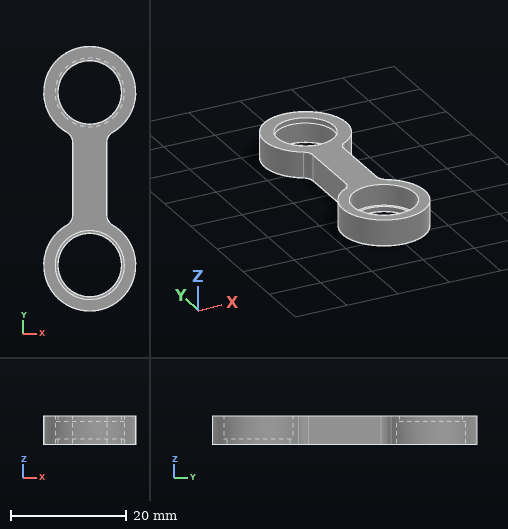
import cadquery as cq

length = 46.0
ring_diameter = 16.0
thickness = 5.0

bar_width = 6.0
bar_fillet = 2.0

bore_diameter = 11.0
seat_diameter = 12.0
lip_thickness = 1.0

ring_offset = (length - ring_diameter) / 2


def ring_blank(y):
    return cq.Workplane("XY").center(0, y).circle(ring_diameter / 2).extrude(thickness)


def ring_bore(y, seat_bottom):
    """Through bore and the wider seat that starts at the given height."""
    bore = cq.Workplane("XY").center(0, y).circle(bore_diameter / 2).extrude(thickness)
    seat = (
        cq.Workplane("XY", origin=(0, y, seat_bottom))
        .circle(seat_diameter / 2)
        .extrude(thickness - lip_thickness)
    )
    return bore.union(seat)


bar = cq.Workplane("XY").rect(bar_width, 2 * ring_offset).extrude(thickness)
body = bar.union(ring_blank(-ring_offset)).union(ring_blank(ring_offset))
corner_zone = cq.selectors.BoxSelector(
    (-bar_width, -ring_offset + bar_width / 2, 0),
    (bar_width, ring_offset - bar_width / 2, thickness),
)
body = body.edges("|Z").edges(corner_zone).fillet(bar_fillet)

result = body.cut(ring_bore(-ring_offset, lip_thickness)).cut(ring_bore(ring_offset, 0))